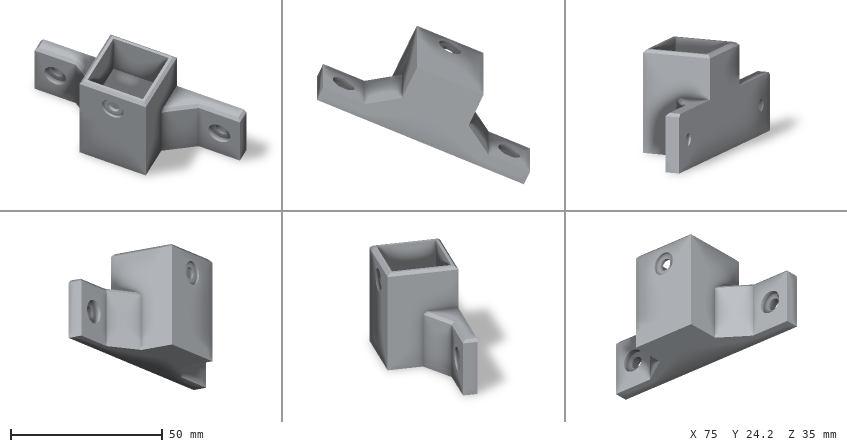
import cadquery as cq

socket_opening = 20.2
wall = 2.0
socket_height = 35.0
socket_depth = 15.0
overall_length = 75.0
ear_thickness = 5.0
ear_height = 20.0
ear_flat_length = 15.0
edge_chamfer = 1.0
screw_diameter = 4.2
head_diameter = 8.0
ear_head_depth = 1.9
socket_head_depth = 0.9
screw_spacing = 60.0

body_size = socket_opening + 2 * wall
half_body = body_size / 2
half_length = overall_length / 2
brace_start = half_length - ear_flat_length
brace_depth = half_body
socket_floor = socket_height - socket_depth
socket_screw_height = socket_height - socket_depth / 2
ear_screw_height = ear_height / 2


def make_ears():
    """Both ears and their braces as one plate with a chamfered top rim, square at the back."""
    outline = [
        (-half_length, 0),
        (-half_length, -ear_thickness),
        (-brace_start, -ear_thickness),
        (-half_body, -brace_depth),
        (half_body, -brace_depth),
        (brace_start, -ear_thickness),
        (half_length, -ear_thickness),
        (half_length, 0),
    ]
    plate = cq.Workplane("XY").polyline(outline).close().extrude(ear_height)
    return plate.faces(">Z").edges("not(>Y)").chamfer(edge_chamfer)


def make_body():
    """Square block with a chamfered top rim."""
    block = cq.Workplane("XY").box(body_size, body_size, socket_height, centered=(True, True, False))
    return block.faces(">Z").edges().chamfer(edge_chamfer).translate((0, -half_body, 0))


def make_socket():
    """Blind square pocket, open at the top."""
    return (
        cq.Workplane("XY", origin=(0, -half_body, socket_floor))
        .rect(socket_opening, socket_opening)
        .extrude(socket_depth)
    )


def make_screw_hole(x, front_y, z, length, head_depth):
    """Clearance hole with a counterbore, entering from the front face at front_y."""
    front = cq.Workplane("XZ", origin=(x, front_y, z))
    shank = front.circle(screw_diameter / 2).extrude(-length)
    head = front.circle(head_diameter / 2).extrude(-head_depth)
    return shank.union(head)


result = make_ears().union(make_body()).cut(make_socket())

result = result.cut(make_screw_hole(0, -body_size, socket_screw_height, wall, socket_head_depth))

for side in (-1, 1):
    x = side * screw_spacing / 2
    result = result.cut(make_screw_hole(x, -ear_thickness, ear_screw_height, ear_thickness, ear_head_depth))